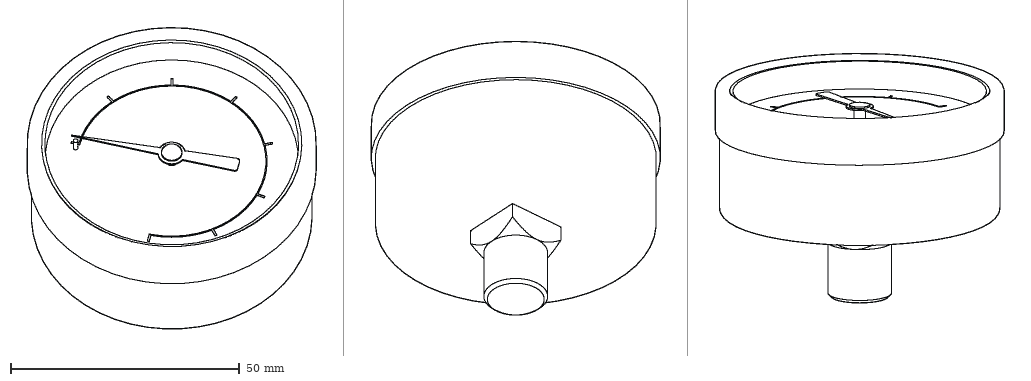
import cadquery as cq
import math

total_height = 47.2
case_height = 28.6
bezel_diameter = 63.25
bezel_height = 10.0
bezel_round = 1.0
body_diameter = 61.5
body_round = 1.5

lip_inner_diameter = 56.9
lip_round = 1.0
window_diameter = 55.5
dial_depth = 7.3

stem_diameter = 14.0
flats_height = 6.4
stem_chamfer = 0.75

scale_engraving = 0.05
scale_inner_radius = 20.6
scale_line_width = 0.25
tick_outer_radius = 22.6
tick_width = 0.45
tick_count = 8
scale_start_angle = 225.0
scale_sweep = 270.0

spindle_diameter = 2.5
hub_diameter = 5.95
cap_diameter = 4.5
needle_thickness = 0.3
needle_clearance = 2.6
cap_height = 0.3
needle_length = 22.45
needle_tip_width = 0.05
needle_root_width = 2.0
tail_length = 15.0
tail_root_width = 2.3
tail_end_width = 3.4
tail_corner_round = 0.65
pin_diameter = 1.0
pin_height = 2.65
pin_x = -14.3
pin_y = -15.8

dial_z = case_height - dial_depth
overlap = 0.1


def disc(diameter, bottom_z, height):
    return cq.Workplane("XY").workplane(offset=bottom_z).circle(diameter / 2).extrude(height)


def make_case():
    body_radius = body_diameter / 2
    bezel_radius = bezel_diameter / 2
    lip_radius = lip_inner_diameter / 2
    window_radius = window_diameter / 2
    half_section = (
        cq.Workplane("XZ")
        .lineTo(body_radius - body_round, 0)
        .radiusArc((body_radius, body_round), -body_round)
        .lineTo(body_radius, case_height - bezel_height)
        .lineTo(bezel_radius, case_height - bezel_height)
        .lineTo(bezel_radius, case_height - bezel_round)
        .radiusArc((bezel_radius - bezel_round, case_height), -bezel_round)
        .lineTo(lip_radius + lip_round, case_height)
        .radiusArc((lip_radius, case_height - lip_round), -lip_round)
        .lineTo(window_radius, case_height - lip_round)
        .lineTo(window_radius, dial_z)
        .lineTo(0, dial_z)
        .close()
    )
    return half_section.revolve(360, (0, 0), (0, 1))


def make_stem():
    shank = disc(stem_diameter, case_height - total_height, total_height - case_height)
    shank = shank.faces("<Z").chamfer(stem_chamfer)
    corner_reach = stem_diameter / math.sqrt(2)
    cone_height = corner_reach - stem_diameter / 2
    turned_outline = (
        cq.Workplane("XZ")
        .moveTo(0, -flats_height)
        .lineTo(stem_diameter / 2, -flats_height)
        .lineTo(corner_reach, cone_height - flats_height)
        .lineTo(corner_reach, overlap)
        .lineTo(0, overlap)
        .close()
        .revolve(360, (0, 0), (0, 1))
    )
    square = cq.Workplane("XY").workplane(offset=-flats_height)
    square = square.rect(stem_diameter, stem_diameter).extrude(flats_height + overlap)
    return shank.union(square.intersect(turned_outline))


def polar_point(radius, angle):
    return radius * math.cos(math.radians(angle)), radius * math.sin(math.radians(angle))


def make_scale_groove():
    outer_radius = scale_inner_radius + scale_line_width
    end_angle = scale_start_angle - scale_sweep
    middle_angle = (scale_start_angle + end_angle) / 2
    groove_floor = cq.Workplane("XY").workplane(offset=dial_z - scale_engraving)
    scale = (
        groove_floor.moveTo(*polar_point(scale_inner_radius, scale_start_angle))
        .threePointArc(polar_point(scale_inner_radius, middle_angle), polar_point(scale_inner_radius, end_angle))
        .lineTo(*polar_point(outer_radius, end_angle))
        .threePointArc(polar_point(outer_radius, middle_angle), polar_point(outer_radius, scale_start_angle))
        .close()
        .extrude(scale_engraving)
    )
    tick_length = tick_outer_radius - scale_inner_radius
    tick = (
        groove_floor.center(scale_inner_radius + tick_length / 2, -tick_width / 2)
        .rect(tick_length, tick_width)
        .extrude(scale_engraving)
    )
    for index in range(tick_count):
        angle = scale_start_angle - index * scale_sweep / (tick_count - 1)
        scale = scale.union(tick.rotate((0, 0, 0), (0, 0, 1), angle))
    return scale


def make_needle():
    needle_z = dial_z + needle_clearance
    plane = cq.Workplane("XY").workplane(offset=needle_z)
    pointer = (
        plane.moveTo(0, -needle_root_width / 2)
        .lineTo(needle_length, -needle_tip_width / 2)
        .lineTo(needle_length, needle_tip_width / 2)
        .lineTo(0, needle_root_width / 2)
        .close()
        .extrude(needle_thickness)
    )
    tail = (
        plane.moveTo(0, -tail_root_width / 2)
        .lineTo(-tail_length, -tail_end_width / 2)
        .lineTo(-tail_length, tail_end_width / 2)
        .lineTo(0, tail_root_width / 2)
        .close()
        .extrude(needle_thickness)
        .edges("|Z and <X")
        .fillet(tail_corner_round)
    )
    needle = pointer.union(tail).union(disc(hub_diameter, needle_z, needle_thickness))
    needle = needle.union(disc(cap_diameter, needle_z, needle_thickness + cap_height))
    needle = needle.union(disc(spindle_diameter, dial_z - overlap, needle_clearance + 2 * overlap))
    return needle.rotate((0, 0, 0), (0, 0, 1), scale_start_angle)


def make_stop_pin():
    return disc(pin_diameter, dial_z - overlap, pin_height + overlap).translate((pin_x, pin_y, 0))


case = make_case().cut(make_scale_groove())
result = case.union(make_stem()).union(make_needle()).union(make_stop_pin())